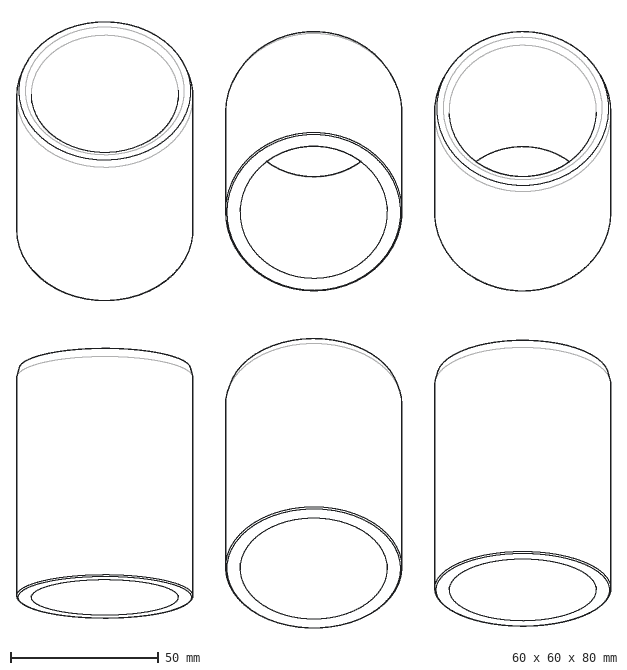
import cadquery as cq

outer_diameter = 60.0
bore_diameter = 50.0
length = 80.0

lead_in_length = 3.1
lead_in_depth = 0.8

bottom_chamfer = 0.5

mouth_radius = 2.0

outer_radius = outer_diameter / 2
bore_radius = bore_diameter / 2


def bushing_section():
    """Half section of the wall: X is the radius, Y is the height."""
    return (
        cq.Workplane("XZ")
        .moveTo(bore_radius, 0)
        .lineTo(outer_radius - bottom_chamfer, 0)
        .lineTo(outer_radius, bottom_chamfer)
        .lineTo(outer_radius, length - lead_in_length)
        .lineTo(outer_radius - lead_in_depth, length)
        .lineTo(bore_radius + mouth_radius, length)
        .radiusArc((bore_radius, length - mouth_radius), -mouth_radius)
        .close()
    )


result = bushing_section().revolve(360, (0, 0, 0), (0, 1, 0))